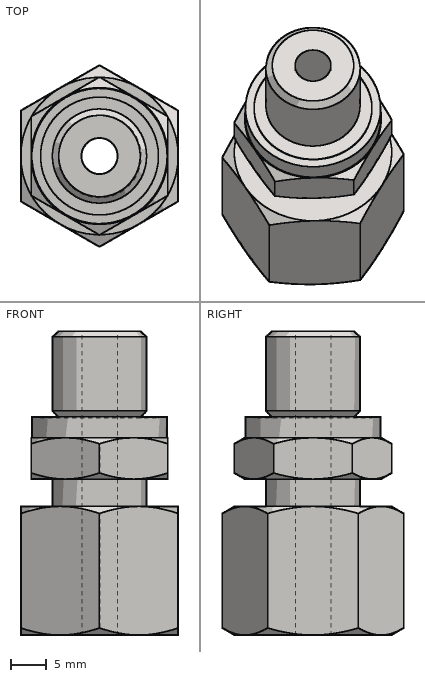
import cadquery as cq
import math

total_height = 42.5
nut_height = 17.98
body_hex_bottom = 21.8
body_hex_top = 27.6
collar_top = 30.5

nut_flats = 22.0
body_flats = 19.12
hex_chamfer_angle = 30.0

stud_diameter = 13.18
stud_tip_diameter = 11.4
stud_tip_height = 0.8
undercut_diameter = 11.6
undercut_taper_height = 0.8
collar_diameter = 18.9
bore_diameter = 5.0

recess_diameter = 16.5
recess_depth = 0.13


def chamfered_hexagon(flats, bottom, top):
    """Hexagon with corners on the Y axis, both ends turned down to a cone."""
    corners = flats / math.cos(math.radians(30))
    prism = (
        cq.Workplane("XY", origin=(0, 0, bottom))
        .polygon(6, corners)
        .extrude(top - bottom)
        .rotate((0, 0, 0), (0, 0, 1), 30)
    )
    flat_radius = flats / 2
    corner_radius = corners / 2
    drop = (corner_radius - flat_radius) * math.tan(math.radians(hex_chamfer_angle))
    turned_blank = (
        cq.Workplane("XZ")
        .moveTo(0, bottom)
        .lineTo(flat_radius, bottom)
        .lineTo(corner_radius, bottom + drop)
        .lineTo(corner_radius, top - drop)
        .lineTo(flat_radius, top)
        .lineTo(0, top)
        .close()
        .revolve(360, (0, 0, 0), (0, 1, 0))
    )
    return prism.intersect(turned_blank)


def turned_body():
    """Neck, collar and stud as one turned profile."""
    stud_radius = stud_diameter / 2
    collar_radius = collar_diameter / 2
    return (
        cq.Workplane("XZ")
        .lineTo(stud_radius, 0)
        .lineTo(stud_radius, body_hex_bottom)
        .lineTo(collar_radius, body_hex_bottom)
        .lineTo(collar_radius, collar_top)
        .lineTo(undercut_diameter / 2, collar_top)
        .lineTo(stud_radius, collar_top + undercut_taper_height)
        .lineTo(stud_radius, total_height - stud_tip_height)
        .lineTo(stud_tip_diameter / 2, total_height)
        .lineTo(0, total_height)
        .close()
        .revolve(360, (0, 0, 0), (0, 1, 0))
    )


nut = chamfered_hexagon(nut_flats, 0, nut_height)
body_hex = chamfered_hexagon(body_flats, body_hex_bottom, body_hex_top)
recess = (
    cq.Workplane("XY", origin=(0, 0, collar_top - recess_depth))
    .circle(recess_diameter / 2)
    .circle(undercut_diameter / 2)
    .extrude(recess_depth)
)
bore = cq.Workplane("XY").circle(bore_diameter / 2).extrude(total_height)

result = turned_body().union(nut).union(body_hex).cut(recess).cut(bore)